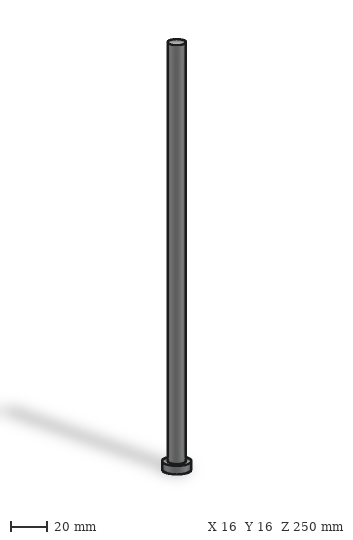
import cadquery as cq

total_length = 250.0
head_diameter = 16.0
head_thickness = 5.0
shaft_diameter = 10.0

shaft_length = total_length - head_thickness

head = cq.Workplane("XY").circle(head_diameter / 2).extrude(head_thickness)

result = head.faces(">Z").workplane().circle(shaft_diameter / 2).extrude(shaft_length)